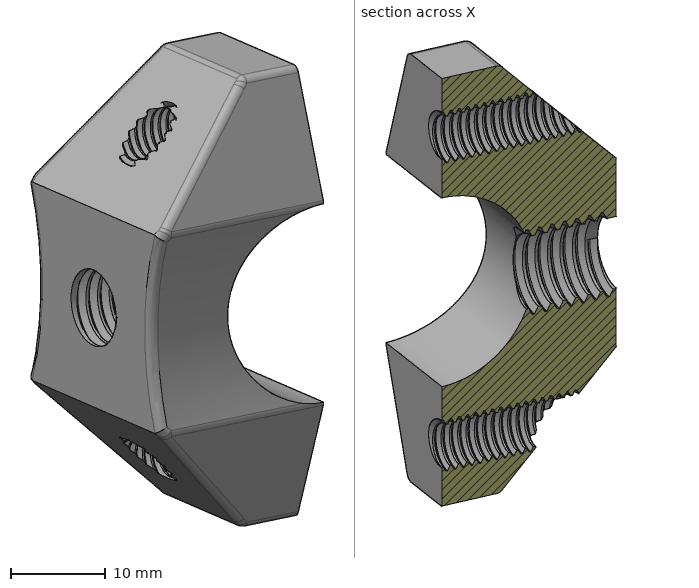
import cadquery as cq
import math

height = 50.0
depth = 21.0
corner_width = 25.0
end_width = 15.0
waist_width = 21.0
saddle_radius = 11.0
bevel_size = height / 2 - saddle_radius
edge_radius = 1.0

centre_thread_diameter = 10.0
centre_thread_pitch = 1.5
centre_thread_inset = 0.6
centre_thread_start = 0.0
end_thread_diameter = 6.0
end_thread_pitch = 1.0
end_thread_start = -45.0
end_hole_offset = 18.0

flank_slope = math.tan(math.radians(30))
groove_mouth_ratio = 3 / 4
groove_root_ratio = 1 / 8
groove_overlap = 0.15
tap_overrun = 3.0


def prism(length):
    """Bar along Y: tapered ends, hollow sides and rounded long edges."""
    end_z = height / 2
    profile = (
        cq.Workplane("XZ")
        .moveTo(-end_width / 2, end_z)
        .lineTo(end_width / 2, end_z)
        .lineTo(corner_width / 2, saddle_radius)
        .threePointArc((waist_width / 2, 0), (corner_width / 2, -saddle_radius))
        .lineTo(end_width / 2, -end_z)
        .lineTo(-end_width / 2, -end_z)
        .lineTo(-corner_width / 2, -saddle_radius)
        .threePointArc((-waist_width / 2, 0), (-corner_width / 2, saddle_radius))
        .close()
    )
    return profile.extrude(length).edges("|Y").fillet(edge_radius)


def bevelled_half():
    """Part above Z = 0 with its end cut by a 45 degree plane; the plane's outline is rounded."""
    end_z = height / 2
    end_depth = depth - bevel_size
    tip_depth = end_depth + end_z
    wedge = (
        cq.Workplane("YZ")
        .moveTo(0, 0)
        .lineTo(0, end_z)
        .lineTo(-end_depth, end_z)
        .lineTo(-tip_depth, 0)
        .close()
        .extrude(corner_width / 2, both=True)
    )
    half = prism(tip_depth).intersect(wedge)
    return half.faces(">(0, -1, 1)").edges("not <Z").fillet(edge_radius)


def minor_radius(diameter, pitch):
    """Bore radius left between the turns of the groove."""
    groove_depth = (groove_mouth_ratio - groove_root_ratio) * pitch / 2 / flank_slope
    return diameter / 2 - groove_depth


def tap(diameter, pitch, y_front, y_back, start_angle):
    """Cutter for a right-hand thread along Y: a bore through the part plus a helical groove."""
    bore_radius = minor_radius(diameter, pitch)
    inner = bore_radius - groove_overlap
    outer = diameter / 2
    inner_half = groove_mouth_ratio * pitch / 2 + groove_overlap * flank_slope
    outer_half = groove_root_ratio * pitch / 2
    helix = cq.Wire.makeHelix(pitch, y_back - y_front, inner)
    groove = (
        cq.Workplane("XZ")
        .polyline([(inner, -inner_half), (outer, -outer_half), (outer, outer_half), (inner, inner_half)])
        .close()
        .sweep(cq.Workplane(helix), isFrenet=True)
        .rotate((0, 0, 0), (0, 0, 1), start_angle)
        .rotate((0, 0, 0), (1, 0, 0), -90)
        .translate((0, y_front, 0))
    )
    bore = (
        cq.Workplane("XZ", origin=(0, tap_overrun, 0))
        .circle(bore_radius)
        .extrude(depth + 2 * tap_overrun)
    )
    return bore.union(groove)


upper = bevelled_half()
bevelled = upper.union(upper.mirror("XY"))
result = prism(depth).faces("<Y").edges().fillet(edge_radius).intersect(bevelled)

saddle = cq.Workplane("YZ").circle(saddle_radius).extrude(corner_width / 2, both=True)
result = result.cut(saddle)

centre_tap = tap(
    centre_thread_diameter, centre_thread_pitch, centre_thread_inset - depth, 0, centre_thread_start
)
result = result.cut(centre_tap)

end_tap = tap(end_thread_diameter, end_thread_pitch, -depth, end_thread_pitch, end_thread_start)
for z in (-end_hole_offset, end_hole_offset):
    result = result.cut(end_tap.translate((0, 0, z)))